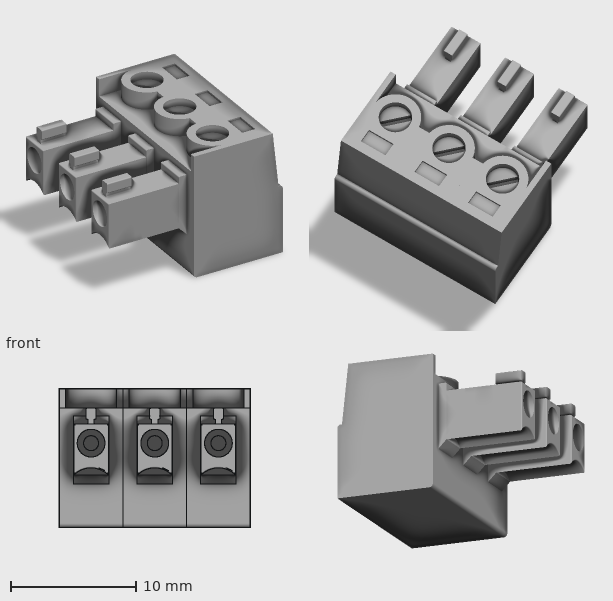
import cadquery as cq
import math


POLE_COUNT = 3
ROW_WIDTH = 15.24
PITCH = ROW_WIDTH / POLE_COUNT
POLE_CENTRES = [(i - (POLE_COUNT - 1) / 2) * PITCH for i in range(POLE_COUNT)]
TOTAL_DEPTH = 15.5

HEIGHT = 11.1
BACK_Y = 8.28
BACK_STEP_Z = 6.12
SLOPE_FOOT_Y = 7.87
SLOPE_TOP_Y = 7.33
BLOCK_ROUND = 0.31

SHELF_Z = 9.53
SHELF_DEPTH = 2.95
BOSS_RADIUS = 2.06

SCREW_Y = 3.24
SCREW_DIAMETER = 2.67
SCREW_RECESS = 0.7
SCREW_LENGTH = 1.55
SLOT_WIDTH = 0.5
SLOT_DEPTH = 0.5
SLOT_ANGLE = 46.0

POCKET_WIDTH = 2.32
POCKET_LENGTH = 1.2
POCKET_DEPTH = 0.2
POCKET_Y = 5.92

PLUG_FRONT_Y = BACK_Y - TOTAL_DEPTH
PLUG_WIDTH = 2.76
PLUG_TOP_Z = 8.26
PLUG_BOTTOM_Z = 4.2
PLUG_HOLLOW_RADIUS = 1.95
COLLAR_WIDTH = 2.82
COLLAR_DEPTH = 0.71
COLLAR_TOP_Z = 8.91
EDGE_ROUND = 0.1

BORE_Z = 6.75
BORE_DIAMETER = 2.22
PIN_HOLE_DIAMETER = 1.2

KEY_FRONT_Y = -6.79
KEY_LENGTH = 2.28
KEY_TOP_Z = SHELF_Z
KEY_HEAD_WIDTH = 0.82
KEY_HEAD_HEIGHT = 0.88
KEY_STEM_WIDTH = 0.5

TAB_THICKNESS = 0.5


def box(x_width, y_min, y_max, z_min, z_max):
    """Box centred on X = 0 between the given Y and Z limits."""
    return (
        cq.Workplane("XY")
        .box(x_width, y_max - y_min, z_max - z_min, centered=(True, False, False))
        .translate((0, y_min, z_min))
    )


def vertical_cylinder(diameter, z_min, z_max):
    """Cylinder on the screw axis."""
    return (
        cq.Workplane("XY", origin=(0, SCREW_Y, z_min))
        .circle(diameter / 2)
        .extrude(z_max - z_min)
    )


def bore_cylinder(diameter, y_min, y_max):
    """Cylinder on the contact axis, along Y."""
    return (
        cq.Workplane("XZ", origin=(0, y_max, BORE_Z))
        .circle(diameter / 2)
        .extrude(y_max - y_min)
    )


def make_block():
    """Housing block with its stepped, sloping back and its cut-down front shelf."""
    side_profile = [
        (0, 0),
        (BACK_Y, 0),
        (BACK_Y, BACK_STEP_Z),
        (SLOPE_FOOT_Y, BACK_STEP_Z),
        (SLOPE_TOP_Y, HEIGHT),
        (0, HEIGHT),
    ]
    block = cq.Workplane("YZ").polyline(side_profile).close().extrude(PITCH / 2, both=True)
    block = block.edges(cq.selectors.NearestToPointSelector((0, 0, 0))).fillet(BLOCK_ROUND)
    block = block.edges(cq.selectors.NearestToPointSelector((0, BACK_Y, BACK_STEP_Z))).fillet(BLOCK_ROUND)

    shelf_cut = box(PITCH, 0, SHELF_DEPTH, SHELF_Z, HEIGHT)
    boss = vertical_cylinder(2 * BOSS_RADIUS, SHELF_Z, HEIGHT)
    return block.cut(shelf_cut.cut(boss))


def make_marking_pocket():
    """Rectangular pocket in the top face, behind the screw."""
    return box(
        POCKET_WIDTH,
        POCKET_Y - POCKET_LENGTH / 2,
        POCKET_Y + POCKET_LENGTH / 2,
        HEIGHT - POCKET_DEPTH,
        HEIGHT,
    )


def make_collar():
    """Collar at the root of the plug, with a 45 degree underside."""
    collar_profile = [
        (0, PLUG_BOTTOM_Z - COLLAR_DEPTH),
        (0, COLLAR_TOP_Z),
        (-COLLAR_DEPTH, COLLAR_TOP_Z),
        (-COLLAR_DEPTH, PLUG_BOTTOM_Z),
    ]
    collar = cq.Workplane("YZ").polyline(collar_profile).close().extrude(COLLAR_WIDTH / 2, both=True)
    front_top_edge = cq.selectors.NearestToPointSelector((0, -COLLAR_DEPTH, COLLAR_TOP_Z))
    return collar.edges(front_top_edge).fillet(EDGE_ROUND)


def make_plug():
    """Plug with a hollowed underside and a rounded front outline."""
    half_width = PLUG_WIDTH / 2
    hollow_rise = PLUG_HOLLOW_RADIUS - math.sqrt(PLUG_HOLLOW_RADIUS**2 - half_width**2)
    return (
        cq.Workplane("XZ", origin=(0, -COLLAR_DEPTH, 0))
        .moveTo(-half_width, PLUG_BOTTOM_Z)
        .threePointArc((0, PLUG_BOTTOM_Z + hollow_rise), (half_width, PLUG_BOTTOM_Z))
        .lineTo(half_width, PLUG_TOP_Z)
        .lineTo(-half_width, PLUG_TOP_Z)
        .close()
        .extrude(-COLLAR_DEPTH - PLUG_FRONT_Y)
        .faces("<Y")
        .edges()
        .fillet(EDGE_ROUND)
    )


def make_key():
    """T-shaped coding key: a rounded head on a stem that flares into the plug."""
    key_back_y = KEY_FRONT_Y + KEY_LENGTH
    head_bottom_z = KEY_TOP_Z - KEY_HEAD_HEIGHT
    head = box(KEY_HEAD_WIDTH, KEY_FRONT_Y, key_back_y, head_bottom_z, KEY_TOP_Z)
    head = head.edges("|Y").fillet(EDGE_ROUND)

    half_stem = KEY_STEM_WIDTH / 2
    half_foot = half_stem + EDGE_ROUND
    flare_top_z = PLUG_TOP_Z + EDGE_ROUND
    stem = (
        cq.Workplane("XZ", origin=(0, key_back_y, 0))
        .moveTo(-half_foot, PLUG_TOP_Z)
        .radiusArc((-half_stem, flare_top_z), -EDGE_ROUND)
        .lineTo(-half_stem, head_bottom_z)
        .lineTo(half_stem, head_bottom_z)
        .lineTo(half_stem, flare_top_z)
        .radiusArc((half_foot, PLUG_TOP_Z), -EDGE_ROUND)
        .close()
        .extrude(KEY_LENGTH)
    )
    return head.union(stem)


def make_housing():
    """One pole's housing, centred on X = 0."""
    screw_well = vertical_cylinder(SCREW_DIAMETER, HEIGHT - SCREW_RECESS - SCREW_LENGTH, HEIGHT)
    contact_bore = bore_cylinder(BORE_DIAMETER, PLUG_FRONT_Y, -COLLAR_DEPTH)
    pin_hole = bore_cylinder(PIN_HOLE_DIAMETER, -COLLAR_DEPTH, 0)
    return (
        make_block()
        .union(make_collar())
        .union(make_plug())
        .union(make_key())
        .cut(make_marking_pocket())
        .cut(screw_well)
        .cut(contact_bore)
        .cut(pin_hole)
    )


def make_screw():
    """Slotted clamping screw filling the bottom of the well, centred on X = 0."""
    screw_top_z = HEIGHT - SCREW_RECESS
    screw = vertical_cylinder(SCREW_DIAMETER, screw_top_z - SCREW_LENGTH, screw_top_z)
    slot = (
        cq.Workplane("XY", origin=(0, SCREW_Y, screw_top_z - SLOT_DEPTH))
        .transformed(rotate=(0, 0, SLOT_ANGLE))
        .rect(2 * SCREW_DIAMETER, SLOT_WIDTH)
        .extrude(SLOT_DEPTH)
    )
    return screw.cut(slot)


def make_end_tab():
    """Plate standing on the shelf, centred on X = 0."""
    return box(TAB_THICKNESS, 0, SHELF_DEPTH, SHELF_Z, HEIGHT)


housing = make_housing()
screw = make_screw()
end_tab = make_end_tab()

bodies = []
for pole_x in POLE_CENTRES:
    bodies.append(housing.translate((pole_x, 0, 0)).solids().val())
    bodies.append(screw.translate((pole_x, 0, 0)).solids().val())

tab_x = (ROW_WIDTH - TAB_THICKNESS) / 2
for side in (-1, 1):
    bodies.append(end_tab.translate((side * tab_x, 0, 0)).solids().val())

result = cq.Compound.makeCompound(bodies)